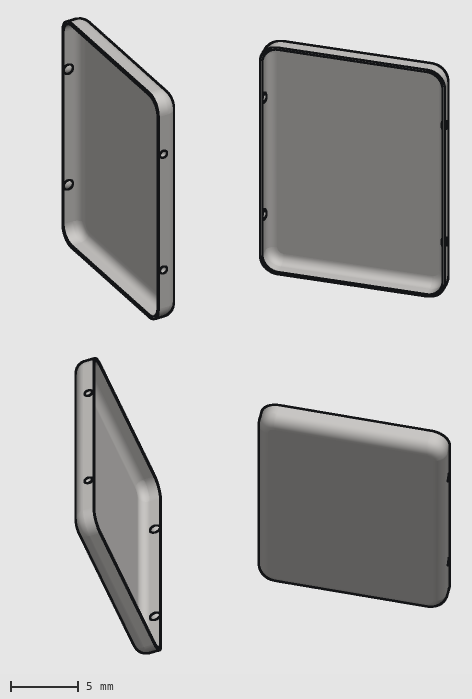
import cadquery as cq
import math

WIDTH = 14.3
DEPTH = 1.7
HEIGHT = 19.4

WALL = 0.2
CORNER_RADIUS = 1.4
BACK_FILLET = 0.9

BUMP_SPACING = 10.0
DIMPLE_SPHERE_RADIUS = 0.35
DIMPLE_MOUTH_RADIUS = 0.3
BULGE_SPHERE_RADIUS = DIMPLE_SPHERE_RADIUS + WALL

BUMP_Y = (DEPTH - BACK_FILLET) / 2
CENTER_OFFSET = math.sqrt(DIMPLE_SPHERE_RADIUS**2 - DIMPLE_MOUTH_RADIUS**2)
BUMP_X = WIDTH / 2 + CENTER_OFFSET


def rounded_block(inset):
    """Block with rounded corners and a rounded back, inset from the outer skin; its front is at Y = 0."""
    depth = DEPTH - inset
    return (
        cq.Workplane("XY")
        .box(WIDTH - 2 * inset, depth, HEIGHT - 2 * inset)
        .translate((0, depth / 2, 0))
        .edges("|Y")
        .fillet(CORNER_RADIUS - inset)
        .faces(">Y")
        .edges()
        .fillet(BACK_FILLET - inset)
    )


def cut_bump_spheres(block, radius):
    """Cut a sphere of the given radius out of the block at every bump."""
    for x in (-BUMP_X, BUMP_X):
        for z in (-BUMP_SPACING / 2, BUMP_SPACING / 2):
            sphere = cq.Workplane("XY").sphere(radius).translate((x, BUMP_Y, z))
            block = block.cut(sphere, clean=False)
    return block


outer_body = cut_bump_spheres(rounded_block(0), DIMPLE_SPHERE_RADIUS)
cavity = cut_bump_spheres(rounded_block(WALL), BULGE_SPHERE_RADIUS)

result = outer_body.cut(cavity, clean=False)